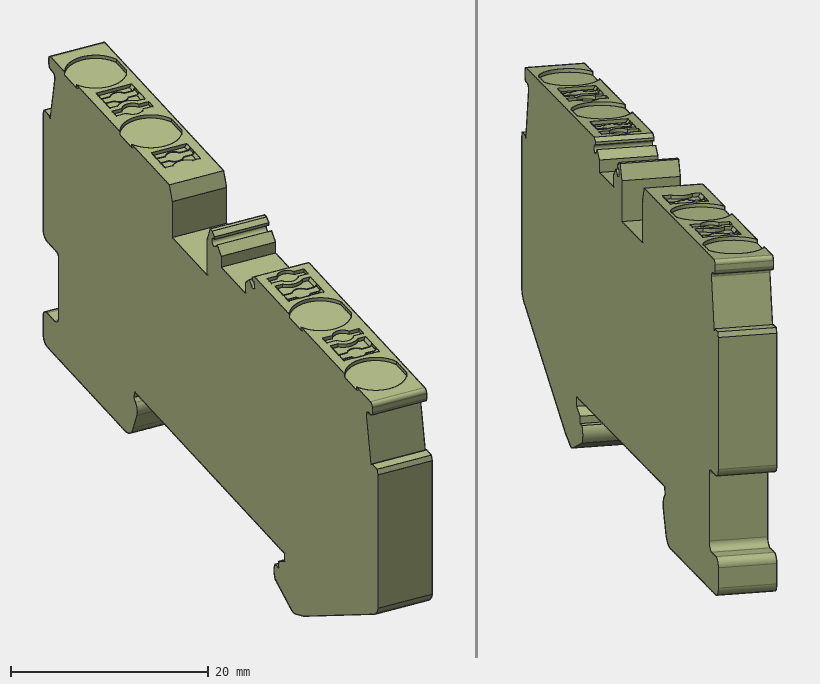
import cadquery as cq

LENGTH = 76.9
THICKNESS = 6.15
HEIGHT = 35.2
MIDDLE_X = LENGTH / 2

LIP_INSET = 1.3
LIP_BOTTOM_Z = 33.7
LIP_ROUND = 0.45
NECK_TOP_INSET = 2.7
NECK_ROUND = 0.5
NECK_BOTTOM_INSET = 1.6
SHOULDER_Z = 28.0
SHOULDER_BEVEL_WIDTH = 0.2
SHOULDER_BEVEL_HEIGHT = 0.5
SHOULDER_DIP = 0.2

SLOT_LEFT_X = 29.7
SLOT_RIGHT_X = 37.7
SLOT_FLOOR_Z = 29.3
SLOT_FLARE = 0.7
SLOT_FLARE_Z = 33.6

SEAT_CENTER_X = 43.7
SEAT_FLOOR_Z = 32.1
SEAT_HALF_WIDTH = 2.8
SEAT_WALL_TOP_Z = 33.4
BARB_OFFSET = 3.7
BARB_Z = 34.2
GROOVE_INNER = (4.15, 33.75)
GROOVE_DEEPEST = (4.85, 33.8)
GROOVE_OUTER = (4.7, 34.45)
HOOK_OFFSET = 4.3
HOOK_LOWER_Z = 34.5
HOOK_UPPER_Z = 34.8
SEAT_MOUTH_OFFSET = 4.85

NOTCH_TOP_Z = 12.6
NOTCH_BOTTOM_Z = 4.1
NOTCH_DEPTH = 3.5
NOTCH_ROUND = 0.9
NOTCH_TOP_INNER_ROUND = 0.45
FOOT_ROUND = 1.0

RAIL_CEILING_Z = 5.9
RAIL_LEFT_X = 21.1
RAIL_RIGHT_X = 55.4

HOOK_GAP = (20.85, 5.15)
HOOK_TOP = (21.2, 4.8)
HOOK_MIDDLE = (21.6, 4.1)
HOOK_LOW = (21.5, 3.4)
HEEL_HIGH = (20.7, 1.4)
HEEL_MIDDLE = (20.0, 0.4)
HEEL_LOW = (18.85, 0)

RIGHT_SIDE_BOTTOM_Z = 11.45
SLOPE_CORNER_MIDDLE = (76.5, 10.7)
SLOPE_HIGH = (75.6, 10.0)
SLOPE_LOW = (59.9, 0.9)

NOSE_TIP_RIGHT = (58.3, 0.2)
NOSE_TIP_BOTTOM = (57.5, 0)
NOSE_TIP_LEFT = (56.75, 0.15)
NOSE_END_LOW = (53.3, 1.6)
NOSE_END_MIDDLE = (53.0, 2.5)
NOSE_END_HIGH = (53.3, 3.45)
NOSE_STEP_X = 54.05
NOSE_STEP_TOP_Z = 4.2
NOSE_ROOT_Z = 4.9

RECESS_DEPTH = 0.4
DISC_OFFSETS = (19.45, 32.15)
DISC_RADIUS = 3.15
DISC_Y = -0.2
DISC_FLAT_Y = 2.7

WINDOW_START = 3.7
WINDOW_END = 6.85
WINDOW_HALF_HEIGHT = 2.0
WINDOW_WALL_SLOPE = 0.2
WINDOW_RELIEF_RADIUS = 1.6
BRIDGE_OFFSET = 4.9
BRIDGE_WIDTH = 0.9
BRIDGE_BULGE_RADIUS = 0.9
BRIDGE_DROP = 0.3

KEY_OFFSET = 8.0
KEY_WIDTH = 1.0
KEY_HALF_HEIGHT = 2.1
KEY_BULGE_RADIUS = 1.1


def block():
    """Plate with its outline in the XZ plane, still without the marker seat."""
    lip_right_x = LENGTH - LIP_INSET
    shoulder_bevel_z = SHOULDER_Z - SHOULDER_BEVEL_HEIGHT
    neck_top_z = LIP_BOTTOM_Z - NECK_ROUND
    neck_root_z = SHOULDER_Z - SHOULDER_DIP
    shoulder_inset = NECK_BOTTOM_INSET - SHOULDER_DIP
    outline = cq.Workplane("XZ").moveTo(0, shoulder_bevel_z)

    outline = (
        outline.lineTo(SHOULDER_BEVEL_WIDTH, SHOULDER_Z)
        .lineTo(shoulder_inset, SHOULDER_Z)
        .lineTo(NECK_BOTTOM_INSET, neck_root_z)
        .lineTo(NECK_TOP_INSET, neck_top_z)
        .radiusArc((NECK_TOP_INSET - NECK_ROUND, LIP_BOTTOM_Z), -NECK_ROUND)
        .lineTo(LIP_INSET + LIP_ROUND, LIP_BOTTOM_Z)
        .radiusArc((LIP_INSET, LIP_BOTTOM_Z + LIP_ROUND), LIP_ROUND)
        .lineTo(LIP_INSET, HEIGHT - LIP_ROUND)
        .radiusArc((LIP_INSET + LIP_ROUND, HEIGHT), LIP_ROUND)
    )

    outline = (
        outline.lineTo(SLOT_LEFT_X - SLOT_FLARE, HEIGHT)
        .lineTo(SLOT_LEFT_X, SLOT_FLARE_Z)
        .lineTo(SLOT_LEFT_X, SLOT_FLOOR_Z)
        .lineTo(SLOT_RIGHT_X, SLOT_FLOOR_Z)
        .lineTo(SLOT_RIGHT_X, SLOT_FLARE_Z)
        .lineTo(SLOT_RIGHT_X + SLOT_FLARE, HEIGHT)
    )

    outline = (
        outline.lineTo(lip_right_x - LIP_ROUND, HEIGHT)
        .radiusArc((lip_right_x, HEIGHT - LIP_ROUND), LIP_ROUND)
        .lineTo(lip_right_x, LIP_BOTTOM_Z + LIP_ROUND)
        .radiusArc((lip_right_x - LIP_ROUND, LIP_BOTTOM_Z), LIP_ROUND)
        .lineTo(LENGTH - NECK_TOP_INSET + NECK_ROUND, LIP_BOTTOM_Z)
        .radiusArc((LENGTH - NECK_TOP_INSET, neck_top_z), -NECK_ROUND)
        .lineTo(LENGTH - NECK_BOTTOM_INSET, neck_root_z)
        .lineTo(LENGTH - shoulder_inset, SHOULDER_Z)
        .lineTo(LENGTH - SHOULDER_BEVEL_WIDTH, SHOULDER_Z)
        .lineTo(LENGTH, shoulder_bevel_z)
    )

    outline = (
        outline.lineTo(LENGTH, RIGHT_SIDE_BOTTOM_Z)
        .threePointArc(SLOPE_CORNER_MIDDLE, SLOPE_HIGH)
        .lineTo(*SLOPE_LOW)
        .lineTo(*NOSE_TIP_RIGHT)
        .threePointArc(NOSE_TIP_BOTTOM, NOSE_TIP_LEFT)
        .lineTo(*NOSE_END_LOW)
        .threePointArc(NOSE_END_MIDDLE, NOSE_END_HIGH)
        .lineTo(NOSE_STEP_X, NOSE_END_HIGH[1])
        .lineTo(NOSE_STEP_X, NOSE_STEP_TOP_Z)
        .lineTo(RAIL_RIGHT_X, NOSE_ROOT_Z)
        .lineTo(RAIL_RIGHT_X, RAIL_CEILING_Z)
    )

    outline = (
        outline.lineTo(RAIL_LEFT_X, RAIL_CEILING_Z)
        .lineTo(*HOOK_GAP)
        .lineTo(*HOOK_TOP)
        .threePointArc(HOOK_MIDDLE, HOOK_LOW)
        .lineTo(*HEEL_HIGH)
        .threePointArc(HEEL_MIDDLE, HEEL_LOW)
    )

    outline = (
        outline.lineTo(FOOT_ROUND, 0)
        .radiusArc((0, FOOT_ROUND), FOOT_ROUND)
        .lineTo(0, NOTCH_BOTTOM_Z - NOTCH_ROUND)
        .radiusArc((NOTCH_ROUND, NOTCH_BOTTOM_Z), NOTCH_ROUND)
        .lineTo(NOTCH_DEPTH - NOTCH_ROUND, NOTCH_BOTTOM_Z)
        .radiusArc((NOTCH_DEPTH, NOTCH_BOTTOM_Z + NOTCH_ROUND), -NOTCH_ROUND)
        .lineTo(NOTCH_DEPTH, NOTCH_TOP_Z - NOTCH_TOP_INNER_ROUND)
        .radiusArc((NOTCH_DEPTH - NOTCH_TOP_INNER_ROUND, NOTCH_TOP_Z), -NOTCH_TOP_INNER_ROUND)
        .lineTo(NOTCH_ROUND, NOTCH_TOP_Z)
        .radiusArc((0, NOTCH_TOP_Z + NOTCH_ROUND), NOTCH_ROUND)
        .close()
    )
    return outline.extrude(THICKNESS / 2, both=True)


def marker_seat():
    """Flat-floored seat with a barb, a round groove and an overhanging hook on each side."""
    right_half = (
        cq.Workplane("XZ")
        .moveTo(0, SEAT_FLOOR_Z)
        .lineTo(SEAT_HALF_WIDTH, SEAT_FLOOR_Z)
        .lineTo(SEAT_HALF_WIDTH, SEAT_WALL_TOP_Z)
        .lineTo(BARB_OFFSET, BARB_Z)
        .lineTo(*GROOVE_INNER)
        .threePointArc(GROOVE_DEEPEST, GROOVE_OUTER)
        .lineTo(HOOK_OFFSET, HOOK_LOWER_Z)
        .lineTo(HOOK_OFFSET, HOOK_UPPER_Z)
        .lineTo(SEAT_MOUTH_OFFSET, HEIGHT)
        .lineTo(0, HEIGHT)
        .close()
        .extrude(THICKNESS / 2, both=True)
    )
    seat = right_half.union(right_half.mirror("YZ"))
    return seat.translate((SEAT_CENTER_X, 0, 0))


def circle_recess(x, y, radius, depth=RECESS_DEPTH):
    """Cylinder reaching down from the top face."""
    return cq.Workplane("XY", origin=(x, y, HEIGHT)).circle(radius).extrude(-depth)


def disc_recess(x):
    """Round recess that breaks out through the front face and has a flat along the back."""
    limit_y = DISC_FLAT_Y - THICKNESS / 2
    limit = cq.Workplane("XY", origin=(x, limit_y, HEIGHT)).box(3 * DISC_RADIUS, THICKNESS, THICKNESS)
    return circle_recess(x, DISC_Y, DISC_RADIUS).intersect(limit)


def keyhole(x, width, half_height, bulge_radius, depth=RECESS_DEPTH):
    """Narrow bar along Y with a round bulge in the middle, reaching down from the top face."""
    bar = cq.Workplane("XY", origin=(x, 0, HEIGHT)).rect(width, 2 * half_height).extrude(-depth)
    return bar.union(circle_recess(x, 0, bulge_radius, depth))


def window_recess(disc_x):
    """Recess with sloping ends, crossed by a keyhole-shaped bridge just below the top face."""
    start_x = disc_x + WINDOW_START
    floor_z = HEIGHT - RECESS_DEPTH
    floor_half_height = WINDOW_HALF_HEIGHT - WINDOW_WALL_SLOPE
    pocket = (
        cq.Workplane("YZ", origin=(start_x, 0, 0))
        .moveTo(-WINDOW_HALF_HEIGHT, HEIGHT)
        .lineTo(WINDOW_HALF_HEIGHT, HEIGHT)
        .lineTo(floor_half_height, floor_z)
        .lineTo(-floor_half_height, floor_z)
        .close()
        .extrude(WINDOW_END - WINDOW_START)
    )
    relief = circle_recess(disc_x + KEY_OFFSET, 0, WINDOW_RELIEF_RADIUS)
    bridge_shape = (disc_x + BRIDGE_OFFSET, BRIDGE_WIDTH, WINDOW_HALF_HEIGHT, BRIDGE_BULGE_RADIUS)
    above_bridge = keyhole(*bridge_shape, depth=BRIDGE_DROP)
    return pocket.cut(relief).cut(keyhole(*bridge_shape)).union(above_bridge)


def key_recess(disc_x):
    """Keyhole-shaped recess beside the window."""
    return keyhole(disc_x + KEY_OFFSET, KEY_WIDTH, KEY_HALF_HEIGHT, KEY_BULGE_RADIUS)


def mirrored(recess):
    """The same recess on the other side of the middle of the block."""
    return recess.mirror("YZ", (MIDDLE_X, 0, 0))


body = block().cut(marker_seat())
inner_x, outer_x = (MIDDLE_X - offset for offset in DISC_OFFSETS)
for disc_x in (inner_x, outer_x):
    for recess in (disc_recess(disc_x), window_recess(disc_x)):
        body = body.cut(recess).cut(mirrored(recess))

body = body.cut(key_recess(outer_x))
for disc_x in (inner_x, outer_x):
    body = body.cut(mirrored(key_recess(disc_x)))

result = body